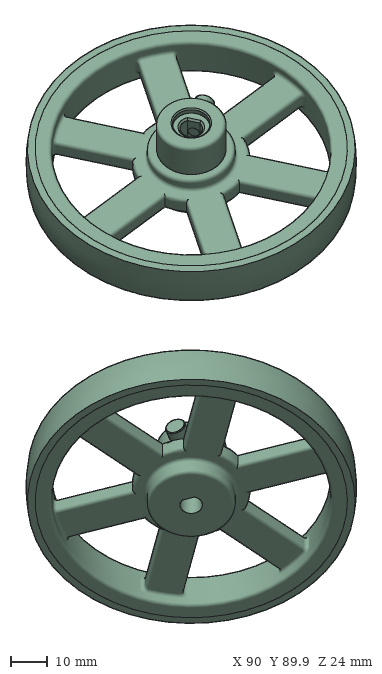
import cadquery as cq


rim_half_width = 6.0
tyre_radius = 45.0
tyre_crown = 0.4
rim_outer_radius = 42.5
rim_inner_radius = 38.0

spoke_count = 6
spoke_width = 10.5
web_radius = 16.0
web_half_thickness = 2.5

collar_radius = 12.0
collar_top = rim_half_width
neck_radius = 9.5
hub_top = 16.5
hub_bottom = -7.5

edge_fillet = 1.0

bore_radius = 3.05
bore_flat = 2.5
recess_radius = 5.1
recess_depth = 1.75
recess_floor = hub_top - recess_depth
bore_chamfer = 0.55
recess_chamfer = 0.4

screw_height = 10.0
head_radius = 2.8
head_outer_end = 14.0
head_inner_end = 10.5
head_chamfer = 0.25
shoulder_radius = 1.8
shoulder_inner_end = 10.0
shoulder_chamfer = 0.2
shank_radius = shoulder_radius - shoulder_chamfer

tolerance = 0.001


def upright_cylinder(radius, bottom, top):
    """Disc about the Z axis between two heights."""
    return cq.Workplane("XY").workplane(offset=bottom).circle(radius).extrude(top - bottom)


def screw_cylinder(radius, start, end):
    """Disc about the screw axis between two Y positions."""
    plane = cq.Plane(origin=(0, start, screw_height), xDir=(1, 0, 0), normal=(0, 1, 0))
    return cq.Workplane(plane).circle(radius).extrude(end - start)


def edges_at_height(radius, height):
    """Selector of every edge at one height that stays within the radius."""
    reach = radius + tolerance
    return cq.selectors.BoxSelector(
        (-reach, -reach, height - tolerance),
        (reach, reach, height + tolerance),
        boundingbox=True,
    )


def make_tyre():
    """Tyre with a straight inside and a crowned tread."""
    tread_edge_radius = tyre_radius - tyre_crown
    return (
        cq.Workplane("XZ")
        .moveTo(rim_outer_radius, -rim_half_width)
        .lineTo(tread_edge_radius, -rim_half_width)
        .threePointArc((tyre_radius, 0), (tread_edge_radius, rim_half_width))
        .lineTo(rim_outer_radius, rim_half_width)
        .close()
        .revolve(360, (0, 0, 0), (0, 1, 0))
    )


def make_rim():
    """Ring with rounded inner edges."""
    ring = upright_cylinder(rim_outer_radius, -rim_half_width, rim_half_width)
    ring = ring.cut(upright_cylinder(rim_inner_radius, -rim_half_width, rim_half_width))
    return ring.edges(cq.selectors.RadiusNthSelector(0)).fillet(edge_fillet)


def make_spider():
    """Web disc with its spokes, rounded along the upper and lower edges."""
    spoke_length = (rim_inner_radius + rim_outer_radius) / 2
    spider = upright_cylinder(web_radius, -web_half_thickness, web_half_thickness)
    for index in range(spoke_count):
        spoke = (
            cq.Workplane("XY")
            .box(spoke_length, spoke_width, 2 * web_half_thickness, centered=(False, True, True))
            .rotate((0, 0, 0), (0, 0, 1), index * 360 / spoke_count)
        )
        spider = spider.union(spoke)
    return spider.faces("|Z").edges().fillet(edge_fillet)


def make_hub():
    """Rounded collar and neck with the flatted bore, its recess and the screw hole."""
    collar = upright_cylinder(collar_radius, hub_bottom, collar_top)
    collar = collar.faces("|Z").edges().fillet(edge_fillet)
    neck = upright_cylinder(neck_radius, 0, hub_top)
    neck = neck.faces(">Z").edges().fillet(edge_fillet)
    hub = collar.union(neck)

    bore = upright_cylinder(bore_radius, hub_bottom, recess_floor)
    beyond_flat = (
        cq.Workplane("XY")
        .workplane(offset=hub_bottom)
        .center(0, bore_flat + bore_radius)
        .rect(2 * bore_radius, 2 * bore_radius)
        .extrude(recess_floor - hub_bottom)
    )
    hub = hub.cut(bore.cut(beyond_flat))
    hub = hub.cut(upright_cylinder(recess_radius, recess_floor, hub_top))
    hub = hub.edges(edges_at_height(bore_radius, recess_floor)).chamfer(bore_chamfer)
    hub = hub.edges(edges_at_height(recess_radius, hub_top)).chamfer(recess_chamfer)
    return hub.cut(screw_cylinder(shank_radius, bore_flat, neck_radius))


def is_spoke_root(edge):
    """True for an edge that joins a spoke to the inner wall of the rim."""
    for end in (edge.startPoint(), edge.endPoint()):
        on_wall = abs(cq.Vector(end.x, end.y, 0).Length - rim_inner_radius) < tolerance
        within_spoke = abs(end.z) < web_half_thickness + tolerance
        if not (on_wall and within_spoke):
            return False
    return True


def is_collar_root(edge):
    """True for a circle where the collar meets a face of the web."""
    if edge.geomType() != "CIRCLE":
        return False
    on_collar = abs(edge.radius() - collar_radius) < tolerance
    return on_collar and abs(abs(edge.Center().z) - web_half_thickness) < tolerance


def fillet_where(body, matches):
    """Fillet the edges of the body that pass the given test."""
    chosen = [edge for edge in body.edges().vals() if matches(edge)]
    return body.newObject(chosen).fillet(edge_fillet)


def make_wheel():
    """Rim, spokes and hub as one casting with filleted joints."""
    wheel = make_rim().union(make_spider())
    wheel = fillet_where(wheel, is_spoke_root)
    wheel = wheel.cut(upright_cylinder(neck_radius, hub_bottom, hub_top))
    wheel = wheel.union(make_hub())
    return fillet_where(wheel, is_collar_root)


def make_screw():
    """Screw with a chamfered cylindrical head, a short tapering shoulder and a plain shank."""
    head = screw_cylinder(head_radius, head_inner_end, head_outer_end)
    head = head.faces(">Y").edges().chamfer(head_chamfer)
    shoulder = screw_cylinder(shoulder_radius, shoulder_inner_end, head_inner_end)
    shoulder = shoulder.faces("<Y").edges().chamfer(shoulder_chamfer)
    shank = screw_cylinder(shank_radius, bore_flat, shoulder_inner_end)
    return head.union(shoulder).union(shank)


tyre = make_tyre()
wheel = make_wheel()
screw = make_screw()

result = cq.Compound.makeCompound(
    [*tyre.solids().vals(), *wheel.solids().vals(), *screw.solids().vals()]
)